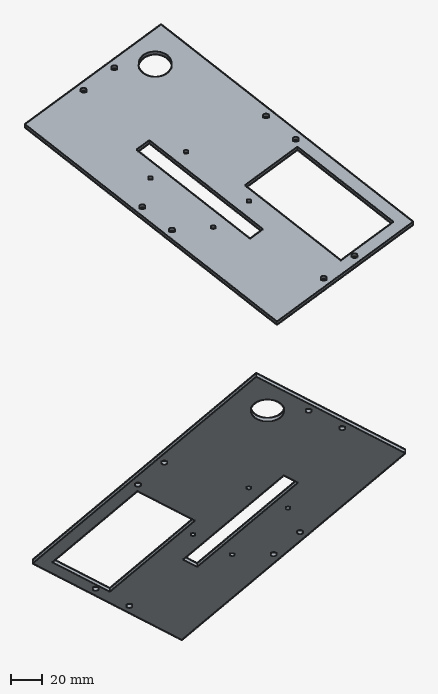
import cadquery as cq

length = 228.4
width = 119.5
thickness = 3.2

edge_hole_diameter = 3.9
edge_hole_inset = 5.5
edge_hole_spacing = 27.0

round_opening_diameter = 21.0
round_opening_center = (-93.0, 34.0)

window_length = 86.8
window_width = 46.0
window_center = (62.0, 27.6)

slot_length = 102.8
slot_width = 11.2
slot_center = (1.4, -18.3)
mount_hole_diameter = 3.0
mount_spacing_x = 56.9
mount_spacing_y = 31.3


def round_holes(body, centers, diameter):
    """Drill through holes at the given plate positions."""
    return body.faces(">Z").workplane(origin=(0, 0, 0)).pushPoints(centers).hole(diameter)


def rectangular_opening(body, center, size_x, size_y):
    """Cut a sharp-cornered rectangle through the plate."""
    return body.faces(">Z").workplane(origin=(0, 0, 0)).center(*center).rect(size_x, size_y).cutThruAll()


plate = cq.Workplane("XY").box(length, width, thickness)

plate = round_holes(plate, [round_opening_center], round_opening_diameter)
plate = rectangular_opening(plate, window_center, window_length, window_width)
plate = rectangular_opening(plate, slot_center, slot_length, slot_width)

edge_x = length / 2 - edge_hole_inset
edge_y = width / 2 - edge_hole_inset
edge_centers = []
for side in (-1, 1):
    for offset in (-edge_hole_spacing / 2, edge_hole_spacing / 2):
        edge_centers.append((side * edge_x, offset))
        edge_centers.append((offset, side * edge_y))
plate = round_holes(plate, edge_centers, edge_hole_diameter)

mount_centers = [
    (slot_center[0] + side_x * mount_spacing_x / 2, slot_center[1] + side_y * mount_spacing_y / 2)
    for side_x in (-1, 1)
    for side_y in (-1, 1)
]
plate = round_holes(plate, mount_centers, mount_hole_diameter)

result = plate